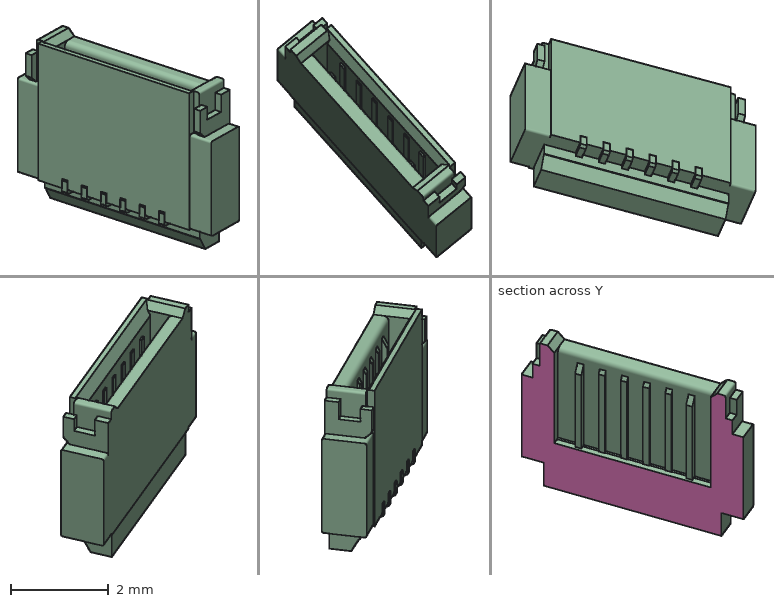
import cadquery as cq
import math

overall_width = 5.0
overall_depth = 1.0
overall_height = 3.7
back_y = overall_depth / 2
front_y = -overall_depth / 2
steep_slope = math.tan(math.radians(60))

shell_bottom_z = 0.6
core_half_width = 2.1
core_front_y = back_y - 0.83
core_corner_radius = 0.05
panel_half_width = 1.95
panel_front_y = back_y - 0.98

cavity_half_width = 1.76
cavity_floor_z = 1.2
cavity_back_y = back_y - 0.325
cavity_front_y = back_y - 0.71
lead_in = 0.15
front_lead_in_height = lead_in * steep_slope
back_wall_top_z = overall_height - lead_in
back_wall_radius = 0.115
floor_bevel_width = 0.04
floor_bevel_angle = 22
floor_bevel_height = floor_bevel_width * math.tan(math.radians(floor_bevel_angle))

ear_depth = 0.953
ear_top_z = 2.75
ear_edge_radius = 0.05

tab_half_span = 2.255
tab_back_top_z = 3.5
tab_front_top_z = 3.4
tab_notch_floor_z = 3.11
tab_notch_start = 0.3
tab_notch_end = 0.76
tab_bevel = 0.14
tab_bevel_top_z = ear_top_z + tab_bevel

tail_half_width = 2.0
tail_back_y = back_y - 0.03
tail_front_y = back_y - 0.69
tail_bevel_height = 0.3
tail_bevel_width = tail_bevel_height / steep_slope
tail_tip_front_y = back_y - 0.5

contact_count = 6
contact_pitch = 0.5
contact_width = 0.14
lead_bottom_z = 0.5
lead_top_z = 0.815
lead_edge_bevel_depth = 0.07
lead_edge_bevel_height = 0.04
lead_top_bevel_depth = 0.014
lead_top_bevel_height = 0.03
beam_top_z = 3.31
outer_beam_reach = 0.115
inner_beam_reach = 0.055
outer_rib_height = 0.045
inner_rib_height = 0.03
rib_top_z = 3.2
overlap = 0.05


def box(x_min, x_max, y_min, y_max, z_min, z_max):
    """Axis-aligned block between the given limits."""
    size = (x_max - x_min, y_max - y_min, z_max - z_min)
    return cq.Workplane("XY").box(*size, centered=False).translate((x_min, y_min, z_min))


def side_profile(points, x_min, x_max):
    """Closed (y, z) outline extruded along X."""
    outline = cq.Workplane("YZ").polyline(points).close()
    return outline.extrude(x_max - x_min).translate((x_min, 0, 0))


def make_shell():
    core = box(-core_half_width, core_half_width, core_front_y, back_y, shell_bottom_z, overall_height)
    core = core.edges("|Y and >Z").fillet(core_corner_radius)
    panel = box(-panel_half_width, panel_half_width, panel_front_y, core_front_y + overlap,
                shell_bottom_z, overall_height)
    return core.union(panel)


def make_ears():
    half_width = overall_width / 2
    ears = box(-half_width, half_width, back_y - ear_depth, back_y, shell_bottom_z, ear_top_z)
    return ears.edges("|X").fillet(ear_edge_radius)


def make_tail():
    points = [
        (tail_back_y, 0),
        (tail_back_y, shell_bottom_z + overlap),
        (tail_front_y, shell_bottom_z + overlap),
        (tail_front_y, tail_bevel_height),
        (tail_tip_front_y - tail_bevel_width, tail_bevel_height),
        (tail_tip_front_y, 0),
    ]
    return side_profile(points, -tail_half_width, tail_half_width)


def make_tab():
    """Notched plate on the -X side wall, running down into the ear."""
    points = [
        (back_y, ear_top_z - ear_edge_radius),
        (back_y, tab_back_top_z),
        (back_y - tab_notch_start, tab_back_top_z),
        (back_y - tab_notch_start, tab_notch_floor_z),
        (back_y - tab_notch_end, tab_notch_floor_z),
        (back_y - tab_notch_end, tab_front_top_z),
        (front_y, tab_front_top_z),
        (front_y, tab_bevel_top_z),
        (front_y + tab_bevel, ear_top_z),
        (front_y + tab_bevel, ear_top_z - ear_edge_radius),
    ]
    return side_profile(points, -tab_half_span, -core_half_width)


def make_cavity():
    """Space removed from the shell: the socket and its bevelled mouth."""
    socket_points = [
        (cavity_front_y, cavity_floor_z),
        (cavity_front_y, overall_height),
        (back_y, overall_height),
        (back_y, back_wall_top_z),
        (cavity_back_y + back_wall_radius, back_wall_top_z),
    ]
    arc_drop = back_wall_radius * (1 - math.sqrt(0.5))
    arc_middle = (cavity_back_y + arc_drop, back_wall_top_z - arc_drop)
    socket = (
        cq.Workplane("YZ")
        .polyline(socket_points)
        .threePointArc(arc_middle, (cavity_back_y, back_wall_top_z - back_wall_radius))
        .lineTo(cavity_back_y, cavity_floor_z + floor_bevel_height)
        .lineTo(cavity_back_y - floor_bevel_width, cavity_floor_z)
        .close()
        .extrude(cavity_half_width, both=True)
    )
    mouth_half_width = cavity_half_width + lead_in
    mouth_bottom_z = overall_height - front_lead_in_height
    across = (
        cq.Workplane("XZ", origin=(0, back_y, 0))
        .polyline([
            (-mouth_half_width, overall_height),
            (mouth_half_width, overall_height),
            (cavity_half_width, back_wall_top_z),
            (cavity_half_width, mouth_bottom_z),
            (-cavity_half_width, mouth_bottom_z),
            (-cavity_half_width, back_wall_top_z),
        ])
        .close()
        .extrude(overall_depth)
    )
    front_to_back = side_profile([
        (cavity_front_y - lead_in, overall_height),
        (back_y, overall_height),
        (back_y, back_wall_top_z),
        (cavity_front_y, back_wall_top_z),
        (cavity_front_y, mouth_bottom_z),
    ], -mouth_half_width, mouth_half_width)
    return socket.union(across.intersect(front_to_back))


def make_lead(x_min, x_max):
    """Solder lead under the shell, turned up over the front panel."""
    points = [
        (tail_front_y + overlap, lead_bottom_z),
        (front_y + lead_edge_bevel_depth, lead_bottom_z),
        (front_y, lead_bottom_z + lead_edge_bevel_height),
        (front_y, lead_top_z - lead_top_bevel_height),
        (front_y + lead_top_bevel_depth, lead_top_z),
        (panel_front_y + overlap, lead_top_z),
        (panel_front_y + overlap, shell_bottom_z + overlap),
        (tail_front_y + overlap, shell_bottom_z + overlap),
    ]
    return side_profile(points, x_min, x_max)


def make_beam(x_min, x_max, reach):
    """Contact strip standing on the back wall of the cavity, with a sloped tip."""
    points = [
        (cavity_back_y + overlap, cavity_floor_z - overlap),
        (cavity_back_y + overlap, beam_top_z),
        (cavity_back_y, beam_top_z),
        (cavity_back_y - reach, beam_top_z - reach * steep_slope),
        (cavity_back_y - reach, cavity_floor_z - overlap),
    ]
    return side_profile(points, x_min, x_max)


def make_rib(x_min, x_max, height):
    """Shallow contact strip on the front wall of the cavity."""
    return box(x_min, x_max, cavity_front_y - overlap, cavity_front_y + height,
               cavity_floor_z - overlap, rib_top_z)


body = make_shell().union(make_ears()).union(make_tail())
left_tab = make_tab()
body = body.union(left_tab).union(left_tab.mirror("YZ"))
body = body.cut(make_cavity())

for index in range(contact_count):
    x_center = (index - (contact_count - 1) / 2) * contact_pitch
    x_min = x_center - contact_width / 2
    x_max = x_center + contact_width / 2
    is_outer = index in (0, contact_count - 1)
    beam_reach = outer_beam_reach if is_outer else inner_beam_reach
    rib_height = outer_rib_height if is_outer else inner_rib_height
    body = body.union(make_lead(x_min, x_max))
    body = body.union(make_beam(x_min, x_max, beam_reach))
    body = body.union(make_rib(x_min, x_max, rib_height))

result = body